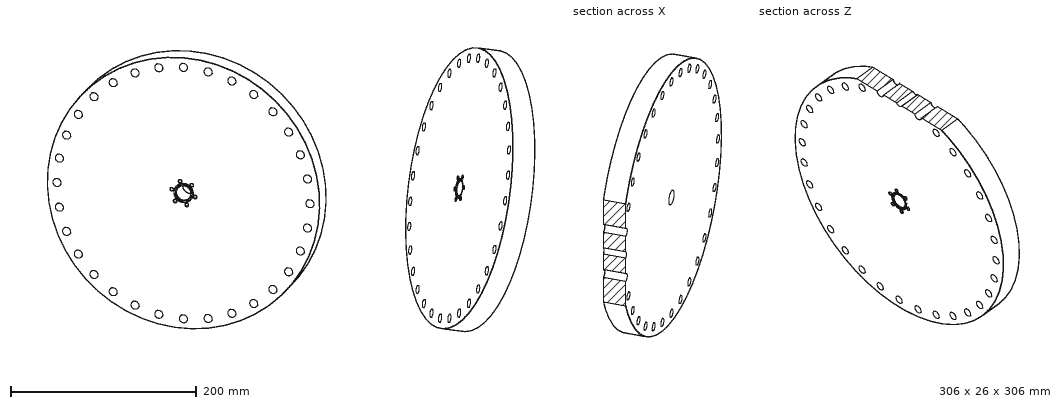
import cadquery as cq
import math

DISC_DIAMETER = 306.0
DISC_THICKNESS = 26.0
RIM_CHAMFER = 0.4

RIM_HOLE_COUNT = 32
RIM_HOLE_DIAMETER = 9.0
RIM_HOLE_CIRCLE_RADIUS = 142.0

BORE_DIAMETER = 16.0
RECESS_DIAMETER = 21.6
RECESS_FLAT_DIAMETER = 18.6
RECESS_FLAT_DEPTH = 0.8
RECESS_SLOPE_ANGLE = 20.0

HUB_HOLE_COUNT = 6
HUB_HOLE_DIAMETER = 3.3
HUB_HOLE_DEPTH = 10.0
HUB_HOLE_CHAMFER = 0.5
HUB_HOLE_CIRCLE_RADIUS = 13.5
HUB_HOLE_START_ANGLE = -14.0
DRILL_POINT_ANGLE = 118.0

FRONT_Y = -DISC_THICKNESS / 2
BACK_Y = DISC_THICKNESS / 2


def turned(profile):
    """Solid turned about the Y axis from an outline of (radius, y) points."""
    outline = [(y, radius) for radius, y in profile]
    return cq.Workplane("YZ").polyline(outline).close().revolve(360, (0, 0, 0), (1, 0, 0))


def cylinder(diameter):
    """Cylinder on the Y axis, as long as the disc is thick."""
    radius = diameter / 2
    return turned([(0, FRONT_Y), (radius, FRONT_Y), (radius, BACK_Y), (0, BACK_Y)])


def disc():
    return cylinder(DISC_DIAMETER).faces("<Y or >Y").edges().chamfer(RIM_CHAMFER)


def recess():
    wall_radius = RECESS_DIAMETER / 2
    flat_radius = RECESS_FLAT_DIAMETER / 2
    flat_y = FRONT_Y + RECESS_FLAT_DEPTH
    slope_drop = (wall_radius - flat_radius) * math.tan(math.radians(RECESS_SLOPE_ANGLE))
    return turned([
        (0, FRONT_Y),
        (wall_radius, FRONT_Y),
        (wall_radius, flat_y + slope_drop),
        (flat_radius, flat_y),
        (0, flat_y),
    ])


def hub_hole():
    """Chamfered blind hole with a drill-point bottom, open at the front face."""
    radius = HUB_HOLE_DIAMETER / 2
    bottom_y = FRONT_Y + HUB_HOLE_DEPTH
    tip_y = bottom_y + radius / math.tan(math.radians(DRILL_POINT_ANGLE / 2))
    return turned([
        (0, FRONT_Y),
        (radius + HUB_HOLE_CHAMFER, FRONT_Y),
        (radius, FRONT_Y + HUB_HOLE_CHAMFER),
        (radius, bottom_y),
        (0, tip_y),
    ])


def cut_ring(body, hole, count, circle_radius, start_angle):
    """Cut evenly spaced copies of a hole on a circle around the Y axis."""
    for index in range(count):
        angle = math.radians(start_angle + index * 360.0 / count)
        x = circle_radius * math.cos(angle)
        z = circle_radius * math.sin(angle)
        body = body.cut(hole.translate((x, 0, z)))
    return body


result = disc().cut(cylinder(BORE_DIAMETER)).cut(recess())
result = cut_ring(result, cylinder(RIM_HOLE_DIAMETER), RIM_HOLE_COUNT, RIM_HOLE_CIRCLE_RADIUS, 0)
result = cut_ring(
    result, hub_hole(), HUB_HOLE_COUNT, HUB_HOLE_CIRCLE_RADIUS, HUB_HOLE_START_ANGLE
)